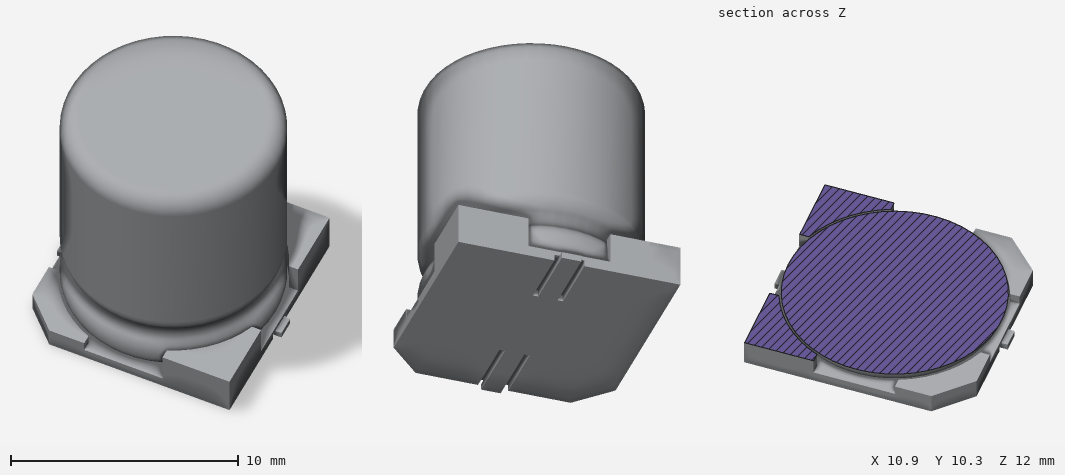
import cadquery as cq
import math


total_height = 11.96
base_width = 10.3
lead_span = 10.9

floor_height = 0.5
low_post_height = 0.96
tall_post_height = 1.96
corner_chamfer = 1.55
post_gap = 3.8
seat_radius = 5.08

can_radius = 5.0
can_edge_radius = 0.8
groove_height = 2.6
groove_radius = 0.55
groove_lip_radius = 1.0

lead_width = 0.9
lead_thickness = 0.3
slot_width = 1.4
lead_separation = 4.5


def corner_post(x_side, y_side, height):
    """Square post filling one corner of the base, outside the gaps between posts."""
    post_width = (base_width - post_gap) / 2
    post_centre = (base_width + post_gap) / 4
    post = cq.Workplane("XY").rect(post_width, post_width).extrude(height)
    return post.translate((x_side * post_centre, y_side * post_centre, 0))


def make_base():
    """Square floor with four corner posts, a round seat and two cut corners at -X."""
    base = cq.Workplane("XY").rect(base_width, base_width).extrude(floor_height)
    for x_side, height in ((-1, low_post_height), (1, tall_post_height)):
        for y_side in (-1, 1):
            base = base.union(corner_post(x_side, y_side, height))
    seat = cq.Workplane("XY").workplane(offset=floor_height).circle(seat_radius).extrude(tall_post_height)
    outline = cq.Workplane("XY").rect(base_width, base_width).extrude(tall_post_height)
    outline = outline.edges("|Z and <X").chamfer(corner_chamfer)
    return base.cut(seat).intersect(outline)


def make_can():
    """Revolved can: rounded ends and a round groove blended into the wall above the base."""
    lip_centre = can_radius - groove_lip_radius
    centre_distance = groove_radius + groove_lip_radius
    lip_offset = math.sqrt(centre_distance**2 - groove_lip_radius**2)
    blend_angle = math.atan2(lip_offset, groove_lip_radius)
    blend_radius = can_radius - groove_radius * math.cos(blend_angle)
    blend_offset = groove_radius * math.sin(blend_angle)
    lip_mid_radius = lip_centre + groove_lip_radius * math.cos(blend_angle / 2)
    lip_mid_offset = lip_offset - groove_lip_radius * math.sin(blend_angle / 2)

    edge_mid = can_edge_radius * (1 - math.sqrt(0.5))
    end_radius = can_radius - can_edge_radius
    profile = (
        cq.Workplane("XZ")
        .moveTo(0, floor_height)
        .lineTo(end_radius, floor_height)
        .threePointArc(
            (can_radius - edge_mid, floor_height + edge_mid),
            (can_radius, floor_height + can_edge_radius),
        )
        .lineTo(can_radius, groove_height - lip_offset)
        .threePointArc(
            (lip_mid_radius, groove_height - lip_mid_offset),
            (blend_radius, groove_height - blend_offset),
        )
        .threePointArc(
            (can_radius - groove_radius, groove_height),
            (blend_radius, groove_height + blend_offset),
        )
        .threePointArc(
            (lip_mid_radius, groove_height + lip_mid_offset),
            (can_radius, groove_height + lip_offset),
        )
        .lineTo(can_radius, total_height - can_edge_radius)
        .threePointArc(
            (can_radius - edge_mid, total_height - edge_mid),
            (end_radius, total_height),
        )
        .lineTo(0, total_height)
        .close()
    )
    return profile.revolve(360, (0, 0, 0), (0, 1, 0))


def end_bar(x_side, inner_x, outer_x, width):
    """Bar as thick as a lead, lying on Z = 0 at one X end of the base."""
    bar = cq.Workplane("XY").rect(outer_x - inner_x, width).extrude(lead_thickness)
    return bar.translate((x_side * (inner_x + outer_x) / 2, 0, 0))


result = make_base().union(make_can())
lead_inner_x = lead_separation / 2
for x_side in (-1, 1):
    result = result.cut(end_bar(x_side, lead_inner_x, base_width / 2, slot_width))
    result = result.union(end_bar(x_side, lead_inner_x, lead_span / 2, lead_width))